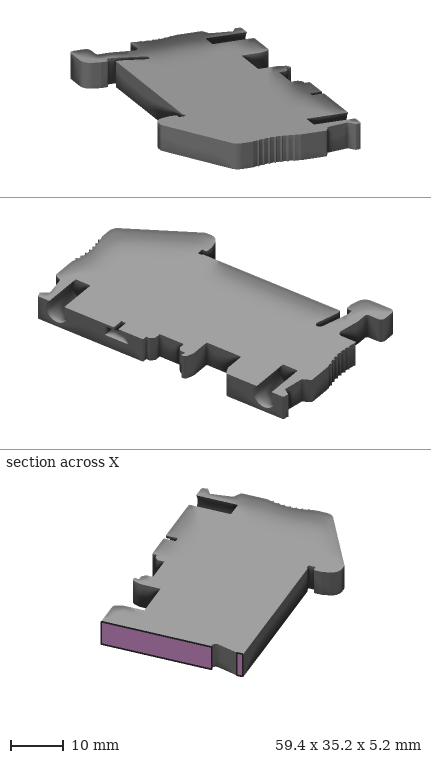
import cadquery as cq
import math

WIDTH = 59.4
HEIGHT = 35.2
THICKNESS = 5.2
HALF_WIDTH = WIDTH / 2

MIN_EDGE = 1e-4

LIP_X = 28.6
LIP_ROUND = 0.5
LIP_EDGE_Y = 34.25
LIP_TIP_X = 28.8
LIP_TIP_Y = 34.05
NECK_X = 27.25
NECK_Y = 32.95
SHOULDER_INNER_X = 28.0
SHOULDER_INNER_Y = 28.45
SHOULDER_Y = 27.6
SHOULDER_ROUND = 0.5

GRIP_Y = 17.25
GRIP_HALF_HEIGHT = 4.95
GRIP_DEPTH = 0.85
GRIP_RADIUS = (GRIP_HALF_HEIGHT**2 + GRIP_DEPTH**2) / (2 * GRIP_DEPTH)
RIDGE_COUNT = 7
LEFT_RIDGE_COUNT = 6
RIDGE_PITCH = 1.235
RIDGE_WIDTH = 0.6
RIDGE_HEIGHT = 0.38
RIDGE_ROOT = 0.1

NOTCH_LEFT = -14.4
NOTCH_RIGHT = -6.4
NOTCH_FLOOR = 29.1
NOTCH_CURVE_Y = 33.4
NOTCH_MOUTH_LEFT = -15.1
NOTCH_MOUTH_RIGHT = -5.7
NOTCH_MOUTH_ROUND = 0.8
NOTCH_WALL_ROUND = 2.0

POCKET_LEFT = -3.15
POCKET_RIGHT = 2.45
POCKET_FLOOR = 32.0
POCKET_CHAMFER = 0.75
STEP_Y = 34.15
STEP_X = 4.05
STEP_ROUND = 0.15
NOSE_X = -4.75
NOSE_ROUND = 0.2
NOSE_EDGE_Y = 34.85
NOSE_NECK_X = -4.95
NOSE_NECK_Y = 34.55

HOOK_TOP = 4.85
HOOK_CORNER_ROUND = 0.4
FLANK_Y = 3.2
FLANK_INSET = 0.8
FOOT_RADIUS = 2.2

LEDGE_Y = 12.65
LEDGE_BEVEL_X = 0.4
LEDGE_BEVEL_Y = 0.5
LEG_TOP_X = -24.8
LEG_TOP_ROUND = 1.1
LEG_X = -25.85
LEG_BEND_Y = 7.1
TOE_TOP = 4.15
TOE_ROUND = 1.0
TOE_INNER_ROUND = 0.5
TOE_X = -29.5
HOOK_X = -21.6

SLOT_END_X = -20.5
SLOT_END_Y = 11.95
SLOT_RADIUS = 0.75
SLOT_ANGLE = math.radians(16)
SLOT_MOUTH_ROUND = 0.25
SLOT_BEND_LEFT_Y = 6.25
SLOT_BEND_RIGHT_Y = 7.05

UNDERSIDE_Y = 6.05
RECESS_X = 10.75
RECESS_TOP = 6.3
FOOT_NECK_X = 11.75
FOOT_X = 10.65
RAMP_ANGLE = math.radians(30)
RAMP_FOOT_X = 14.35
RAMP_FOOT_ROUND = 1.3
RAMP_TOP_ROUND = 2.0

CONDUCTOR_X = 24.02
CONDUCTOR_OPENING = 3.45
CONDUCTOR_RADIUS = 2.45
CONDUCTOR_LENGTH = 8.6

MARKER_X = 10.3
MARKER_LENGTH = 2.5
MARKER_SLIT_WIDTH = 1.05
MARKER_SLIT_DEPTH = 0.55
MARKER_CAVITY_WIDTH = 5.2
MARKER_CAVITY_DEPTH = THICKNESS / 2


def side_corners():
    """Corners of the right-hand lip, neck and shoulder, from the top edge downwards."""
    return [
        (LIP_X, HEIGHT, LIP_ROUND),
        (LIP_X, LIP_EDGE_Y, 0),
        (LIP_TIP_X, LIP_TIP_Y, 0),
        (NECK_X, NECK_Y, 0),
        (SHOULDER_INNER_X, SHOULDER_INNER_Y, 0),
        (HALF_WIDTH, SHOULDER_Y, SHOULDER_ROUND),
    ]


def top_edge_corners():
    """Corners of the notch and the latch pocket in the top edge, from left to right."""
    return [
        (NOTCH_MOUTH_LEFT, HEIGHT, NOTCH_MOUTH_ROUND),
        (NOTCH_LEFT, NOTCH_CURVE_Y, NOTCH_WALL_ROUND),
        (NOTCH_LEFT, NOTCH_FLOOR, 0),
        (NOTCH_RIGHT, NOTCH_FLOOR, 0),
        (NOTCH_RIGHT, NOTCH_CURVE_Y, NOTCH_WALL_ROUND),
        (NOTCH_MOUTH_RIGHT, HEIGHT, NOTCH_MOUTH_ROUND),
        (NOSE_X, HEIGHT, NOSE_ROUND),
        (NOSE_X, NOSE_EDGE_Y, 0),
        (NOSE_NECK_X, NOSE_NECK_Y, 0),
        (NOSE_NECK_X, STEP_Y, 0),
        (POCKET_LEFT - POCKET_CHAMFER, STEP_Y, 0),
        (POCKET_LEFT, STEP_Y - POCKET_CHAMFER, 0),
        (POCKET_LEFT, POCKET_FLOOR, 0),
        (POCKET_RIGHT, POCKET_FLOOR, 0),
        (POCKET_RIGHT, STEP_Y - POCKET_CHAMFER, 0),
        (POCKET_RIGHT + POCKET_CHAMFER, STEP_Y, 0),
        (STEP_X, STEP_Y, 0),
        (STEP_X, HEIGHT, STEP_ROUND),
    ]


def fixed_foot_corners():
    """Corners of the ramp, the fixed foot and the underside, from right to left."""
    ramp_top_y = (HALF_WIDTH - RAMP_FOOT_X) * math.tan(RAMP_ANGLE)
    return [
        (HALF_WIDTH, ramp_top_y, RAMP_TOP_ROUND),
        (RAMP_FOOT_X, 0, RAMP_FOOT_ROUND),
        (FOOT_X + FLANK_INSET, 0, FOOT_RADIUS),
        (FOOT_X, FLANK_Y, 0),
        (FOOT_X, HOOK_TOP, HOOK_CORNER_ROUND),
        (FOOT_NECK_X, HOOK_TOP, 0),
        (FOOT_NECK_X, RECESS_TOP, 0),
        (RECESS_X, RECESS_TOP, 0),
        (RECESS_X, UNDERSIDE_Y, 0),
    ]


def relief_slot_corners():
    """Corners of the slanted slot, from its mouth at the right round its end to the left."""
    slope = math.tan(SLOT_ANGLE)
    along = (SLOT_RADIUS * math.sin(SLOT_ANGLE), SLOT_RADIUS * math.cos(SLOT_ANGLE))
    end_x = SLOT_END_X + along[0]
    end_y = SLOT_END_Y + along[1]
    right_top = (end_x + along[1], end_y - along[0])
    left_top = (end_x - along[1], end_y + along[0])
    right_bend_x = right_top[0] - (right_top[1] - SLOT_BEND_RIGHT_Y) * slope
    left_bend_x = left_top[0] - (left_top[1] - SLOT_BEND_LEFT_Y) * slope
    return [
        (right_bend_x, UNDERSIDE_Y, SLOT_MOUTH_ROUND),
        (right_bend_x, SLOT_BEND_RIGHT_Y, 0),
        (*right_top, SLOT_RADIUS),
        (*left_top, SLOT_RADIUS),
        (left_bend_x, SLOT_BEND_LEFT_Y, 0),
        (left_bend_x, HOOK_TOP, 0),
    ]


def spring_foot_corners():
    """Corners of the spring foot, from its hook round the toe and up to the ledge."""
    return [
        (HOOK_X, HOOK_TOP, HOOK_CORNER_ROUND),
        (HOOK_X, FLANK_Y, 0),
        (HOOK_X - FLANK_INSET, 0, FOOT_RADIUS),
        (TOE_X, 0, TOE_ROUND),
        (TOE_X, TOE_TOP, TOE_ROUND),
        (LEG_X, TOE_TOP, TOE_INNER_ROUND),
        (LEG_X, LEG_BEND_Y, 0),
        (LEG_TOP_X, LEDGE_Y, LEG_TOP_ROUND),
        (-HALF_WIDTH + LEDGE_BEVEL_X, LEDGE_Y, 0),
        (-HALF_WIDTH, LEDGE_Y + LEDGE_BEVEL_Y, 0),
    ]


def rounded_profile(corners):
    """Closed profile through (x, y, radius) corners, each blended by a tangent arc."""
    points = [cq.Vector(x, y) for x, y, _ in corners]
    edges = []
    last = None
    first = None
    for index, corner in enumerate(points):
        radius = corners[index][2]
        to_previous = (points[index - 1] - corner).normalized()
        to_next = (points[(index + 1) % len(points)] - corner).normalized()
        half_angle = to_previous.getAngle(to_next) / 2
        setback = radius / math.tan(half_angle)
        start = corner + to_previous * setback
        end = corner + to_next * setback
        if last is None:
            first = start
        elif (start - last).Length > MIN_EDGE:
            edges.append(cq.Edge.makeLine(last, start))
        if radius > 0:
            bisector = (to_previous + to_next).normalized()
            middle = corner + bisector * (radius / math.sin(half_angle) - radius)
            edges.append(cq.Edge.makeThreePointArc(start, middle, end))
        last = end
    edges.append(cq.Edge.makeLine(last, first))
    return cq.Wire.assembleEdges(edges)


def make_body():
    """Flat housing with the full outline, before the grips are hollowed."""
    right_side = side_corners()
    left_side = [(-x, y, radius) for x, y, radius in reversed(right_side)]
    corners = (
        left_side
        + top_edge_corners()
        + right_side
        + fixed_foot_corners()
        + relief_slot_corners()
        + spring_foot_corners()
    )
    outline = rounded_profile(corners)
    return cq.Workplane("XY").add(outline).toPending().extrude(THICKNESS)


def grip_center_x(side):
    """X of the centre of the hollow's arc; side is -1 for left, +1 for right."""
    return side * (HALF_WIDTH - GRIP_DEPTH + GRIP_RADIUS)


def grip_hollow(side):
    """Cylinder that hollows one side of the housing."""
    return (
        cq.Workplane("XY")
        .center(grip_center_x(side), GRIP_Y)
        .circle(GRIP_RADIUS)
        .extrude(THICKNESS)
    )


def grip_ridge(side, number):
    """One pointed full-thickness ridge on the hollow; number 0 is the topmost."""
    offset = ((RIDGE_COUNT - 1) / 2 - number) * RIDGE_PITCH
    surface = grip_center_x(side) - side * math.sqrt(GRIP_RADIUS**2 - offset**2)
    root = surface - side * RIDGE_ROOT
    middle_y = GRIP_Y + offset
    half_width = RIDGE_WIDTH / 2
    profile = [
        (root, middle_y - half_width),
        (surface + side * RIDGE_HEIGHT, middle_y),
        (root, middle_y + half_width),
    ]
    return cq.Workplane("XY").polyline(profile).close().extrude(THICKNESS)


def conductor_entry(side):
    """Round channel along Y, its axis just below the front face."""
    half_opening = CONDUCTOR_OPENING / 2
    axis_z = THICKNESS - math.sqrt(CONDUCTOR_RADIUS**2 - half_opening**2)
    inner_end = cq.Vector(side * CONDUCTOR_X, HEIGHT - CONDUCTOR_LENGTH, axis_z)
    plane = cq.Plane(inner_end, xDir=(0, 0, -1), normal=(0, 1, 0))
    return cq.Workplane(plane).circle(CONDUCTOR_RADIUS).extrude(CONDUCTOR_LENGTH)


def marker_box(width, depth):
    """Block open at the top edge and reaching down from the front face."""
    return (
        cq.Workplane("XY", origin=(MARKER_X, HEIGHT - MARKER_LENGTH / 2, THICKNESS - depth))
        .rect(width, MARKER_LENGTH)
        .extrude(depth)
    )


def marker_slot():
    """Narrow slit that opens into a wider cavity behind it."""
    slit = marker_box(MARKER_SLIT_WIDTH, MARKER_CAVITY_DEPTH)
    cover = marker_box(MARKER_CAVITY_WIDTH, MARKER_SLIT_DEPTH)
    cavity = marker_box(MARKER_CAVITY_WIDTH, MARKER_CAVITY_DEPTH).cut(cover)
    return slit.union(cavity)


body = make_body()
for side in (-1, 1):
    body = body.cut(grip_hollow(side))
    ridge_count = LEFT_RIDGE_COUNT if side < 0 else RIDGE_COUNT
    for number in range(ridge_count):
        body = body.union(grip_ridge(side, number))
    body = body.cut(conductor_entry(side))

result = body.cut(marker_slot())